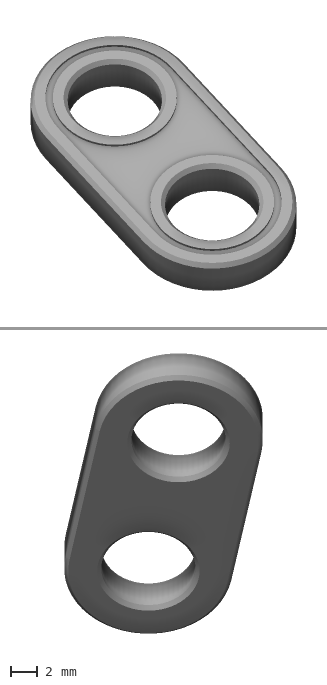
import cadquery as cq

length = 25.0
width = 12.5
thickness = 3.12
edge_chamfer = 0.3

rim_width = 1.1
recess_depth = 0.2

hole_spacing = length - width
hole_diameter = 7.0
hole_chamfer = edge_chamfer
ring_diameter = 9.2

hole_centres = [(-hole_spacing / 2, 0), (hole_spacing / 2, 0)]


def make_plate():
    """Round-ended plate with chamfered top and bottom edges."""
    plate = cq.Workplane("XY").slot2D(length, width).extrude(thickness)
    return plate.faces("<Z or >Z").edges().chamfer(edge_chamfer)


def make_recess():
    """Shallow round-ended pocket volume, without the two rings left standing."""
    floor = cq.Workplane("XY").workplane(offset=thickness - recess_depth)
    pocket = floor.slot2D(length - 2 * rim_width, width - 2 * rim_width).extrude(recess_depth)
    rings = floor.pushPoints(hole_centres).circle(ring_diameter / 2).extrude(recess_depth)
    return pocket.cut(rings)


def make_hole(centre):
    """Volume of one through hole, flared at both ends by its chamfers."""
    bore_radius = hole_diameter / 2
    mouth_radius = bore_radius + hole_chamfer
    half_section = [
        (0, 0),
        (mouth_radius, 0),
        (bore_radius, hole_chamfer),
        (bore_radius, thickness - hole_chamfer),
        (mouth_radius, thickness),
        (0, thickness),
    ]
    profile = cq.Workplane("XZ").polyline(half_section).close()
    return profile.revolve(360, (0, 0), (0, 1)).translate((*centre, 0))


result = make_plate().cut(make_recess())
for hole_centre in hole_centres:
    result = result.cut(make_hole(hole_centre))